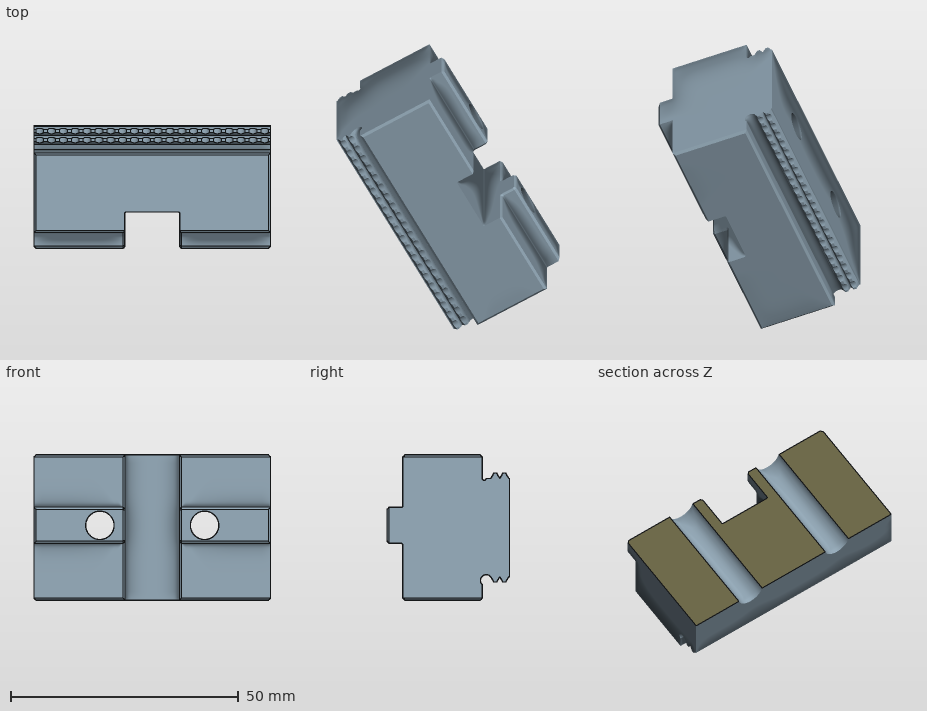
import cadquery as cq
import math


length = 52.0
body_height = 32.0
body_depth = 17.5
edge_chamfer = 0.5

tongue_depth = 3.5
tongue_height = 7.95
tongue_center_z = 16.5
tongue_root_fillet = 0.25

slot_width = 12.0
slot_depth = 8.0
slot_root_fillet = 0.2
slot_mouth_chamfer = 0.4

hole_diameter = 6.2
hole_spacing = 23.0

pad_depth = 6.0
lower_tip_z = 4.0
upper_tip_z = 28.0
tooth_count = 2
tooth_pitch = 2.0
tooth_tip_width = 0.6
flank_angle = math.radians(60)
tooth_setback = 0.2

upper_relief_radius = 0.4
upper_relief_offset = 0.35
lower_relief_radius = 1.25
lower_relief_offset = 0.85

scoop_count = 20
scoop_radius = 1.0
scoop_depth = 0.5

pick_margin = 0.05

pad_back_y = body_depth + pad_depth
tongue_front_y = -tongue_depth
slot_floor_y = tongue_front_y + slot_depth
flank_width = (tooth_pitch - tooth_tip_width) / 2
tooth_height = flank_width * math.tan(flank_angle)
upper_root_z = upper_tip_z - tooth_height
lower_root_z = lower_tip_z + tooth_height
first_root_y = pad_back_y - tooth_setback
last_root_y = first_root_y - tooth_count * tooth_pitch


def make_box(x_range, y_range, z_range):
    """Box spanning the given (low, high) ranges."""
    sizes = [high - low for low, high in (x_range, y_range, z_range)]
    corner = (x_range[0], y_range[0], z_range[0])
    return cq.Workplane("XY").box(*sizes, centered=False).translate(corner)


def extrude_along_x(profile):
    """Prism of a YZ profile over the full length, centred in X."""
    return profile.extrude(length).translate((-length / 2, 0, 0))


def make_rod_along_x(radius, y, z):
    """Full-length cylinder parallel to X."""
    return extrude_along_x(cq.Workplane("YZ").center(y, z).circle(radius))


def make_body():
    """Block with chamfered top and bottom rims."""
    block = make_box((-length / 2, length / 2), (0, body_depth), (0, body_height))
    return block.faces("<Z or >Z").edges().chamfer(edge_chamfer)


def add_tongue(body):
    """Tongue with a chamfered front rim and filleted roots."""
    z_low = tongue_center_z - tongue_height / 2
    z_high = tongue_center_z + tongue_height / 2
    tongue = make_box((-length / 2, length / 2), (tongue_front_y, body_depth / 2), (z_low, z_high))
    tongue = tongue.faces("<Y").edges().chamfer(edge_chamfer)
    joined = body.union(tongue)
    for z in (z_low, z_high):
        root = cq.selectors.BoxSelector(
            (-pick_margin, -pick_margin, z - pick_margin), (pick_margin, pick_margin, z + pick_margin)
        )
        joined = joined.edges(root).fillet(tongue_root_fillet)
    return joined


def cut_slot(body):
    """Vertical slot with filleted inner corners and chamfered mouth edges."""
    slot = make_box(
        (-slot_width / 2, slot_width / 2), (tongue_front_y, slot_floor_y), (0, body_height)
    )
    slot = slot.edges("|Z and >Y").fillet(slot_root_fillet)
    body = body.cut(slot)
    mouth = cq.selectors.BoxSelector(
        (-slot_width / 2 - pick_margin, tongue_front_y - pick_margin, edge_chamfer),
        (slot_width / 2 + pick_margin, pick_margin, body_height - edge_chamfer),
    )
    return body.edges(mouth).chamfer(slot_mouth_chamfer)


def tooth_row_points(tip_z, root_z):
    """Outline of one row of teeth, from the back of the pad towards the body."""
    points = []
    for index in range(tooth_count):
        root_y = first_root_y - index * tooth_pitch
        points += [
            (root_y, root_z),
            (root_y - flank_width, tip_z),
            (root_y - flank_width - tooth_tip_width, tip_z),
        ]
    points.append((last_root_y, root_z))
    return points


def make_pad():
    """Pad with teeth along its top and bottom."""
    upper_row = tooth_row_points(upper_tip_z, upper_root_z)
    lower_row = tooth_row_points(lower_tip_z, lower_root_z)
    inner_y = body_depth / 2
    outline = [(pad_back_y, lower_root_z), (pad_back_y, upper_root_z)]
    outline += upper_row
    outline += [(inner_y, upper_root_z), (inner_y, lower_root_z)]
    outline += reversed(lower_row)
    return extrude_along_x(cq.Workplane("YZ").polyline(outline).close())


def cut_reliefs(body):
    """Small relief above the pad and a larger one below, tangent to the last lower flank."""
    upper = make_rod_along_x(upper_relief_radius, body_depth + upper_relief_offset, upper_root_z)
    lower_y = body_depth + lower_relief_offset
    flank_run = last_root_y - lower_y
    flank_line_z = lower_root_z + flank_run * math.tan(flank_angle)
    lower_z = flank_line_z - lower_relief_radius / math.cos(flank_angle)
    lower = make_rod_along_x(lower_relief_radius, lower_y, lower_z)
    return body.cut(upper).cut(lower)


def cut_scoops(body):
    """Evenly spaced round scoops, parallel to Y, across the tips of both tooth rows."""
    pitch = length / scoop_count
    axis_height = scoop_radius - scoop_depth
    spots = []
    for index in range(scoop_count):
        x = -length / 2 + (index + 0.5) * pitch
        spots += [(x, upper_tip_z + axis_height), (x, lower_tip_z - axis_height)]
    scoops = (
        cq.Workplane("XZ", origin=(0, pad_back_y, 0))
        .pushPoints(spots)
        .circle(scoop_radius)
        .extrude(pad_back_y - last_root_y)
    )
    return body.cut(scoops)


def cut_screw_holes(body):
    """Two through holes along Y, centred on the tongue."""
    spots = [(-hole_spacing / 2, tongue_center_z), (hole_spacing / 2, tongue_center_z)]
    holes = (
        cq.Workplane("XZ", origin=(0, pad_back_y, 0))
        .pushPoints(spots)
        .circle(hole_diameter / 2)
        .extrude(pad_back_y - tongue_front_y)
    )
    return body.cut(holes)


jaw = cut_slot(add_tongue(make_body()))
jaw = cut_reliefs(jaw.union(make_pad()))
result = cut_screw_holes(cut_scoops(jaw))